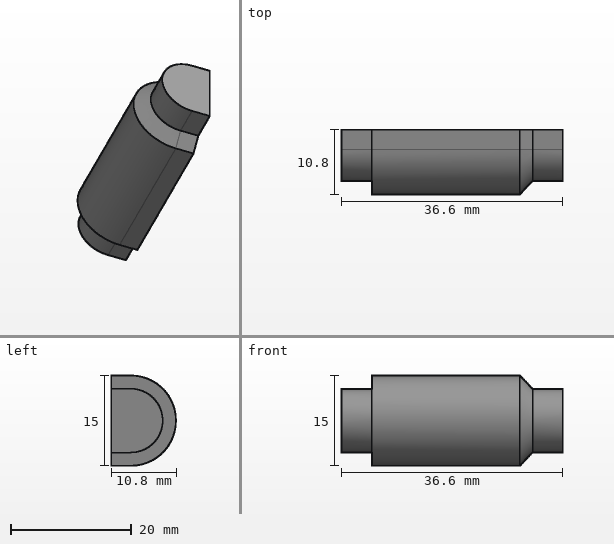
import cadquery as cq

total_length = 36.65
total_depth = 10.75
body_diameter = 15.0
end_diameter = 10.55
end_length = 5.02
taper_length = 2.1

body_radius = body_diameter / 2
end_radius = end_diameter / 2
flat_depth = total_depth - body_radius

body_start = end_length
taper_end = total_length - end_length
taper_start = taper_end - taper_length

upper_edge = [
    (0, end_radius),
    (body_start, end_radius),
    (body_start, body_radius),
    (taper_start, body_radius),
    (taper_end, end_radius),
    (total_length, end_radius),
]


def make_round_side():
    """Half turn of the stepped outline about X, from +Z through -Y to -Z."""
    half_outline = [(0, 0)] + upper_edge + [(total_length, 0)]
    return cq.Workplane("XZ").polyline(half_outline).close().revolve(180, (0, 0, 0), (1, 0, 0))


def make_flat_side():
    """Straight slab with the full stepped outline, reaching to the flat +Y face."""
    lower_edge = [(x, -z) for x, z in reversed(upper_edge)]
    return cq.Workplane("XZ").polyline(upper_edge + lower_edge).close().extrude(-flat_depth)


result = make_round_side().union(make_flat_side())